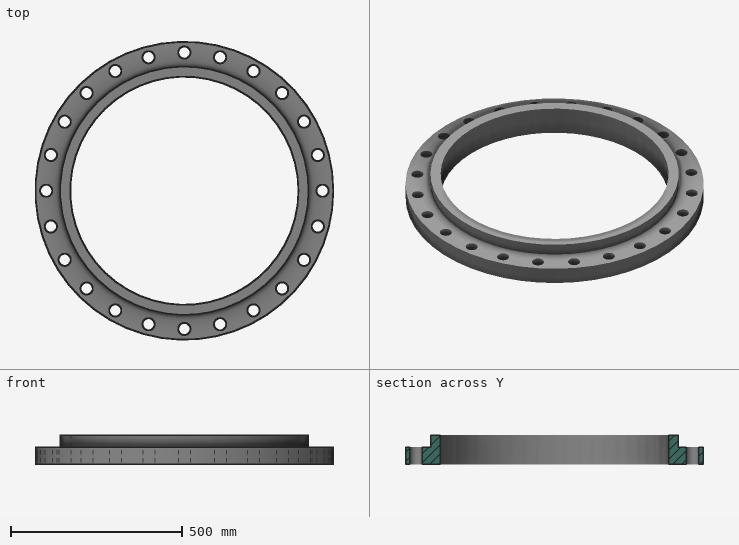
import cadquery as cq

flange_diameter = 869.95
flange_thickness = 50.8
overall_height = 85.72

hub_diameter = 724.4
bore_diameter = 665.2

bolt_count = 24
bolt_circle_diameter = 806.45
bolt_hole_diameter = 34.925


def ring_body():
    """Flat flange disc with the hub standing on it, bored through."""
    hub_height = overall_height - flange_thickness
    flange = cq.Workplane("XY").circle(flange_diameter / 2).extrude(flange_thickness)
    hub = (
        cq.Workplane("XY")
        .workplane(offset=flange_thickness)
        .circle(hub_diameter / 2)
        .extrude(hub_height)
    )
    bore = cq.Workplane("XY").circle(bore_diameter / 2).extrude(overall_height)
    return flange.union(hub).cut(bore)


def bolt_holes():
    """Through holes evenly spaced on the bolt circle, the first one on +X."""
    return (
        cq.Workplane("XY")
        .polarArray(bolt_circle_diameter / 2, 0, 360, bolt_count)
        .circle(bolt_hole_diameter / 2)
        .extrude(flange_thickness)
    )


result = ring_body().cut(bolt_holes())